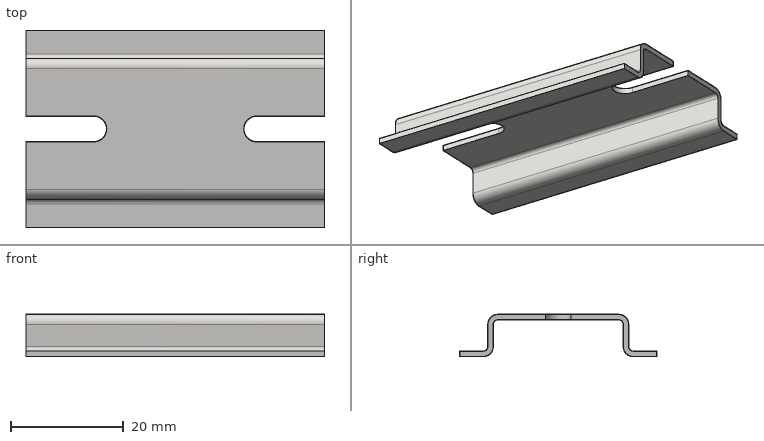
import cadquery as cq

length = 53.0
width = 35.0
height = 7.5

thickness = 1.0
crown_width = 25.0
inner_radius = 0.8
outer_radius = inner_radius + thickness

slot_width = 4.5
slot_depth = 14.3


def hat_profile():
    """Closed hat-shaped cross-section with sharp bends, bottom at Z = 0."""
    edge = width / 2
    outer_wall = crown_width / 2
    inner_wall = outer_wall - thickness
    right_half = [
        (inner_wall, height - thickness),
        (inner_wall, 0),
        (edge, 0),
        (edge, thickness),
        (outer_wall, thickness),
        (outer_wall, height),
    ]
    left_half = [(-y, z) for y, z in reversed(right_half)]
    return cq.Workplane("YZ").polyline(right_half + left_half).close()


def bend_edges(body, y, z):
    """Lengthwise edges at +y and -y at height z."""
    reach = thickness / 4
    selected = body.edges(cq.selectors.BoxSelector(
        (-length, y - reach, z - reach), (length, y + reach, z + reach)))
    return selected.add(body.edges(cq.selectors.BoxSelector(
        (-length, -y - reach, z - reach), (length, -y + reach, z + reach))))


def round_bends(body):
    """Give every bend concentric inner and outer radii."""
    outer_wall = crown_width / 2
    inner_wall = outer_wall - thickness
    body = bend_edges(body, outer_wall, height).fillet(outer_radius)
    body = bend_edges(body, inner_wall, height - thickness).fillet(inner_radius)
    body = bend_edges(body, inner_wall, 0).fillet(outer_radius)
    return bend_edges(body, outer_wall, thickness).fillet(inner_radius)


def end_slot(side):
    """Round-ended slot cutter through the crown, open at the side * X end."""
    return (
        cq.Workplane("XY")
        .center(side * length / 2, 0)
        .slot2D(2 * slot_depth, slot_width)
        .extrude(height)
    )


result = round_bends(hat_profile().extrude(length / 2, both=True))
for side in (-1, 1):
    result = result.cut(end_slot(side))